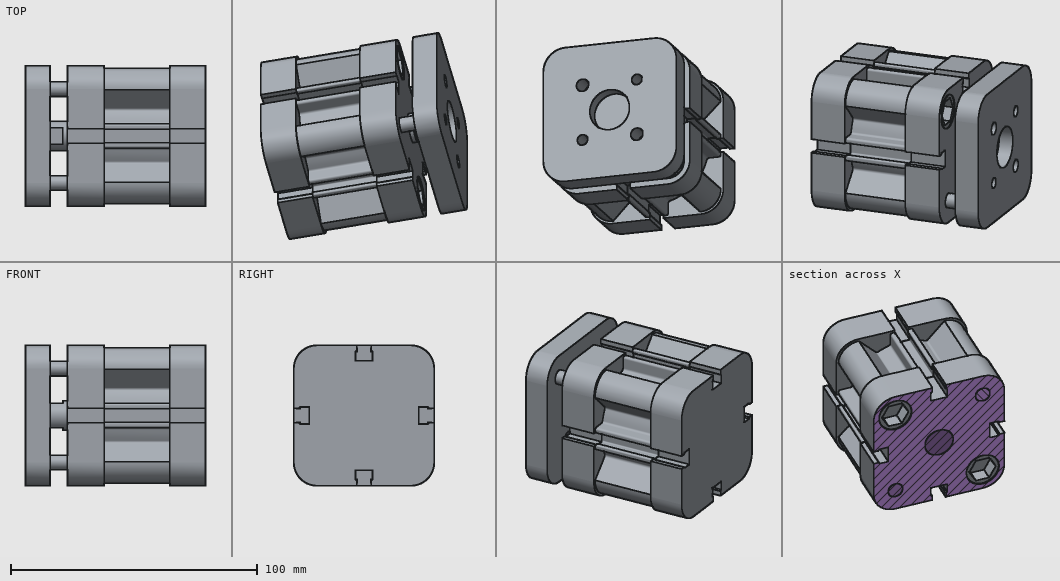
import cadquery as cq
import math

PLATE_THICKNESS = 10.0
HEAD_START = 17.0
BARREL_START = 31.9
CAP_START = 58.5
CAP_END = 73.0
BARREL_LENGTH = CAP_START - BARREL_START
BARREL_MIDDLE = (BARREL_START + CAP_START) / 2

BLOCK_SIZE = 57.0
HALF_BLOCK = BLOCK_SIZE / 2
BLOCK_RADIUS = 9.5
CORNER_OFFSET = HALF_BLOCK - BLOCK_RADIUS

BARREL_SETBACK = 1.0
BARREL_REACH = HALF_BLOCK - BARREL_SETBACK
LOBE_RADIUS = 8.85
LOBE_OFFSET = BARREL_REACH - LOBE_RADIUS
TUBE_RADIUS = 22.2
FLANK_ANGLE = 46.0
VALLEY_FILLET = 1.0
RIB_HALF_WIDTH = 4.95
RIB_ROOT_FILLET = 1.1
RIB_EDGE_FILLET = 0.95

BLOCK_GROOVE_FLOOR = 22.2
BLOCK_GROOVE_HALF_OPENING = 2.9
BLOCK_GROOVE_HALF_WIDTH = 3.5
BLOCK_LIP_BOTTOM = 26.4
BLOCK_SHOULDER_DROP = 0.5
BARREL_FLOOR_STEP = 0.2
BARREL_GROOVE_FLOOR = BLOCK_GROOVE_FLOOR - BARREL_FLOOR_STEP
BARREL_GROOVE_HALF_OPENING = 2.7
BARREL_GROOVE_HALF_WIDTH = 3.3
BARREL_LIP_BOTTOM = 25.9
BARREL_LIP_FILLET = 0.6
BARREL_FLOOR_FILLET = 0.5

SCREW_HEAD_DIAMETER = 14.0
SCREW_HEAD_SETBACK = 0.3
HEX_ACROSS_FLATS = 10.0
HEX_DEPTH = 6.0

ROD_ENGAGEMENT = BARREL_START - HEAD_START
PISTON_ROD_DIAMETER = 12.0
WRENCH_FLAT_GAP = 10.0
WRENCH_FLAT_LENGTH = 5.2
GUIDE_ROD_DIAMETER = 6.0

PLATE_BORE_DIAMETER = 17.0
PLATE_BORE_DEPTH = 6.0
PLATE_HOLE_OFFSET = 11.65
THREADED_HOLE_DIAMETER = 4.4
DOWEL_HOLE_DIAMETER = 5.2

SIDES = range(4)
GUIDE_CORNERS = [(-CORNER_OFFSET, CORNER_OFFSET), (CORNER_OFFSET, -CORNER_OFFSET)]
SCREW_CORNERS = [(CORNER_OFFSET, CORNER_OFFSET), (-CORNER_OFFSET, -CORNER_OFFSET)]


def section_at(x):
    """Workplane across the axis at x, with local axes Y and Z."""
    return cq.Workplane("YZ", origin=(x, 0, 0))


def around_axis(body, side):
    return body.rotate((0, 0, 0), (1, 0, 0), 90 * side)


def rod(diameter, y, z):
    length = HEAD_START + ROD_ENGAGEMENT - PLATE_THICKNESS
    return section_at(PLATE_THICKNESS).center(y, z).circle(diameter / 2).extrude(length)


def end_block(x_start, x_end):
    block = section_at(x_start).rect(BLOCK_SIZE, BLOCK_SIZE).extrude(x_end - x_start)
    return block.edges("|X").fillet(BLOCK_RADIUS)


def cut_on_all_sides(body, cutter):
    for side in SIDES:
        body = body.cut(around_axis(cutter, side))
    return body


def barrel_valley():
    """Space between two corner lobes on the top side, down to the round tube."""
    half_base = LOBE_OFFSET - BARREL_REACH / math.tan(math.radians(FLANK_ANGLE))
    wedge = (
        section_at(BARREL_START)
        .moveTo(-LOBE_OFFSET, BARREL_REACH)
        .lineTo(-half_base, 0)
        .lineTo(half_base, 0)
        .lineTo(LOBE_OFFSET, BARREL_REACH)
        .close()
        .extrude(BARREL_LENGTH)
    )
    tube = section_at(BARREL_START).circle(TUBE_RADIUS).extrude(BARREL_LENGTH)
    rib = section_at(BARREL_START).rect(2 * RIB_HALF_WIDTH, 2 * BARREL_REACH).extrude(BARREL_LENGTH)
    rib = rib.edges("|X").fillet(RIB_EDGE_FILLET)
    valley = wedge.cut(tube).cut(rib)

    tube_height_at_rib = math.sqrt(TUBE_RADIUS**2 - RIB_HALF_WIDTH**2)
    for side in (-1, 1):
        root_point = (BARREL_MIDDLE, side * RIB_HALF_WIDTH, tube_height_at_rib)
        root = cq.selectors.NearestToPointSelector(root_point)
        valley = valley.edges("|X").edges(root).fillet(RIB_ROOT_FILLET)
        bottom_point = (BARREL_MIDDLE, side * LOBE_OFFSET, 0)
        bottom = cq.selectors.NearestToPointSelector(bottom_point)
        valley = valley.edges("|X").edges(bottom).fillet(VALLEY_FILLET)
    return valley


def barrel_groove():
    """Groove in the top side of the barrel, with rounded lips and floor corners."""
    lip_start = BARREL_GROOVE_HALF_OPENING + BARREL_LIP_FILLET
    lip_end = BARREL_REACH - BARREL_LIP_FILLET
    slot_height = BARREL_LIP_BOTTOM - BARREL_GROOVE_FLOOR
    slot = (
        section_at(BARREL_START)
        .center(0, BARREL_GROOVE_FLOOR + slot_height / 2)
        .rect(2 * BARREL_GROOVE_HALF_WIDTH, slot_height)
        .extrude(BARREL_LENGTH)
        .edges("|X and <Z")
        .fillet(BARREL_FLOOR_FILLET)
    )
    opening = (
        section_at(BARREL_START)
        .moveTo(-BARREL_GROOVE_HALF_OPENING, BARREL_GROOVE_FLOOR)
        .lineTo(-BARREL_GROOVE_HALF_OPENING, lip_end)
        .radiusArc((-lip_start, BARREL_REACH), -BARREL_LIP_FILLET)
        .lineTo(lip_start, BARREL_REACH)
        .radiusArc((BARREL_GROOVE_HALF_OPENING, lip_end), -BARREL_LIP_FILLET)
        .lineTo(BARREL_GROOVE_HALF_OPENING, BARREL_GROOVE_FLOOR)
        .close()
        .extrude(BARREL_LENGTH)
    )
    return slot.union(opening)


def barrel():
    body = section_at(BARREL_START).rect(2 * BARREL_REACH, 2 * BARREL_REACH).extrude(BARREL_LENGTH)
    body = body.edges("|X").fillet(LOBE_RADIUS)
    body = cut_on_all_sides(body, barrel_valley())
    return cut_on_all_sides(body, barrel_groove())


def grooved_block(x_start, x_end):
    """End block with a groove in each side that widens under a sloping shoulder."""
    shoulder = BLOCK_LIP_BOTTOM - BLOCK_SHOULDER_DROP
    groove = (
        section_at(x_start)
        .moveTo(BLOCK_GROOVE_HALF_OPENING, HALF_BLOCK)
        .lineTo(BLOCK_GROOVE_HALF_OPENING, BLOCK_LIP_BOTTOM)
        .lineTo(BLOCK_GROOVE_HALF_WIDTH, shoulder)
        .lineTo(BLOCK_GROOVE_HALF_WIDTH, BLOCK_GROOVE_FLOOR)
        .lineTo(-BLOCK_GROOVE_HALF_WIDTH, BLOCK_GROOVE_FLOOR)
        .lineTo(-BLOCK_GROOVE_HALF_WIDTH, shoulder)
        .lineTo(-BLOCK_GROOVE_HALF_OPENING, BLOCK_LIP_BOTTOM)
        .lineTo(-BLOCK_GROOVE_HALF_OPENING, HALF_BLOCK)
        .close()
        .extrude(x_end - x_start)
    )
    return cut_on_all_sides(end_block(x_start, x_end), groove)


def screw_sockets():
    recess = section_at(HEAD_START).pushPoints(SCREW_CORNERS)
    recess = recess.circle(SCREW_HEAD_DIAMETER / 2).extrude(SCREW_HEAD_SETBACK)
    for y, z in SCREW_CORNERS:
        hexagon = section_at(HEAD_START).center(y, z).transformed(rotate=(0, 0, 90))
        hexagon = hexagon.polygon(6, HEX_ACROSS_FLATS, circumscribed=True).extrude(HEX_DEPTH)
        recess = recess.union(hexagon)
    return recess


def make_housing(rods):
    """Front head, barrel and rear cap in one piece, bored to fit the rods."""
    front_head = grooved_block(HEAD_START, BARREL_START)
    rear_cap = grooved_block(CAP_START, CAP_END)
    body = front_head.union(barrel()).union(rear_cap)
    body = body.cut(screw_sockets())
    for fitted_rod in rods:
        body = body.cut(fitted_rod)
    return body


def make_front_plate():
    plate = end_block(0, PLATE_THICKNESS)
    bore = section_at(0).circle(PLATE_BORE_DIAMETER / 2).extrude(PLATE_BORE_DEPTH)
    plate = plate.cut(bore)
    offset = PLATE_HOLE_OFFSET
    dowel_points = [(offset, offset), (-offset, -offset)]
    threaded_points = [(-offset, offset), (offset, -offset)]
    for diameter, points in (
        (DOWEL_HOLE_DIAMETER, dowel_points),
        (THREADED_HOLE_DIAMETER, threaded_points),
    ):
        holes = section_at(0).pushPoints(points).circle(diameter / 2).extrude(PLATE_THICKNESS)
        plate = plate.cut(holes)
    return plate


def make_piston_rod():
    """Rod with two wrench flats, facing up and down, behind the plate."""
    width = PISTON_ROD_DIAMETER
    whole_zone = section_at(PLATE_THICKNESS).rect(width, width).extrude(WRENCH_FLAT_LENGTH)
    kept_zone = section_at(PLATE_THICKNESS).rect(width, WRENCH_FLAT_GAP).extrude(WRENCH_FLAT_LENGTH)
    return rod(PISTON_ROD_DIAMETER, 0, 0).cut(whole_zone.cut(kept_zone))


piston_rod = make_piston_rod()
guide_rods = [rod(GUIDE_ROD_DIAMETER, y, z) for y, z in GUIDE_CORNERS]
housing = make_housing([piston_rod, *guide_rods])
front_plate = make_front_plate()

result = cq.Compound.makeCompound(
    [
        housing.val(),
        front_plate.val(),
        piston_rod.val(),
        *[guide_rod.val() for guide_rod in guide_rods],
    ]
)